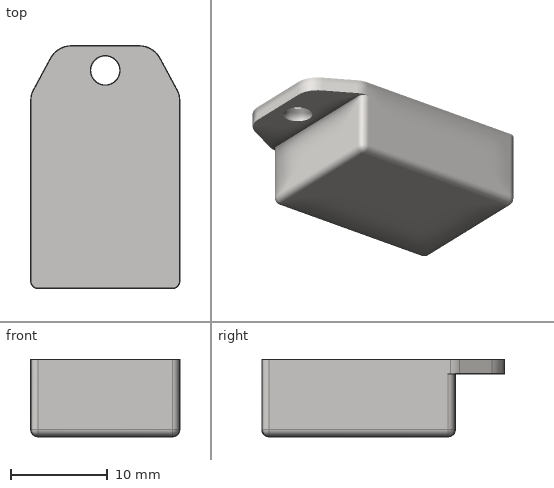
import cadquery as cq

width = 15.4
length = 25.1
height = 8.0

body_length = 20.0
body_round = 0.75

plate_thickness = 1.5
taper_length = length - body_length
taper_inset = 2.74
shoulder_radius = 2.0
tip_radius = 2.5

hole_diameter = 3.0
hole_to_tip = 2.55

half_width = width / 2
tip_half_width = half_width - taper_inset
shoulder_y = length - taper_length
plate_bottom = height - plate_thickness


def make_body():
    """Box with rounded upright edges and a rounded bottom rim."""
    body = cq.Workplane("XY").box(width, body_length, height, centered=(True, False, False))
    return body.edges("|Z").fillet(body_round).faces("<Z").edges().fillet(body_round)


def make_plate():
    """Tag outline with rounded corners, flush with the top of the body."""
    plate = (
        cq.Workplane("XY", origin=(0, 0, plate_bottom))
        .moveTo(-half_width, 0)
        .lineTo(half_width, 0)
        .lineTo(half_width, shoulder_y)
        .lineTo(tip_half_width, length)
        .lineTo(-tip_half_width, length)
        .lineTo(-half_width, shoulder_y)
        .close()
        .extrude(plate_thickness)
    )
    base_corners = plate.edges("|Z and <Y")
    plate = base_corners.fillet(body_round)
    plate = plate.edges("|Z and >Y").fillet(tip_radius)
    for side in (-1, 1):
        shoulder = cq.selectors.NearestToPointSelector(
            (side * half_width, shoulder_y, height - plate_thickness / 2)
        )
        plate = plate.edges("|Z").edges(shoulder).fillet(shoulder_radius)
    return plate


def make_hole():
    """Cutter for the round hole through the plate."""
    return (
        cq.Workplane("XY", origin=(0, length - hole_to_tip, plate_bottom))
        .circle(hole_diameter / 2)
        .extrude(plate_thickness)
    )


result = make_body().union(make_plate()).cut(make_hole())